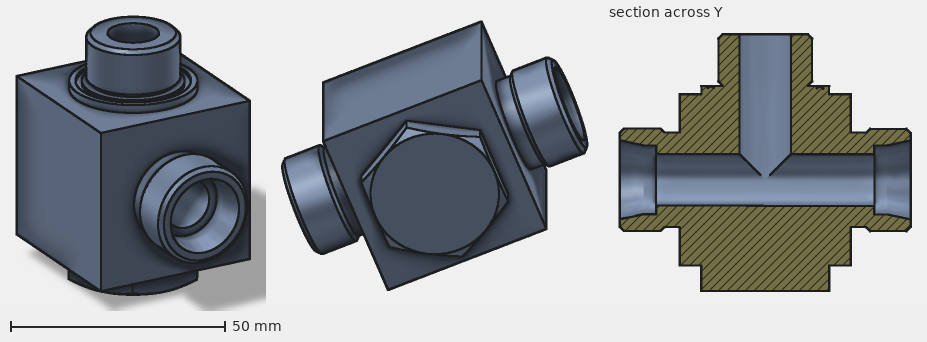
import cadquery as cq
import math

block_side = 40.0
half_block = block_side / 2
bore_radius = 12.0 / 2
edge_chamfer = 1.0

overall_length = 68.0
port_end = overall_length / 2
thread_radius = 24.0 / 2
neck_radius = 22.2 / 2
port_thread_length = 10.5
mouth_radius = 18.35 / 2
socket_radius = 16.0 / 2
cone_half_angle = 12.0
cone_depth = (mouth_radius - socket_radius) / math.tan(math.radians(cone_half_angle))
socket_depth = 8.5

stud_radius = 22.0 / 2
stud_top = half_block + 14.0
collar_radius = 30.0 / 2
collar_top = half_block + 2.0
ring_outer_radius = 27.0 / 2
ring_inner_radius = 24.0 / 2
ring_section_radius = (ring_outer_radius - ring_inner_radius) / 2
ring_recess = 0.15
ring_mid_radius = (ring_outer_radius + ring_inner_radius) / 2

hex_flats = 30.0
hex_flat_radius = hex_flats / 2
hex_corner_radius = hex_flat_radius / math.cos(math.radians(30))
hex_height = 6.0
hex_bottom = -half_block - hex_height
hex_chamfer_angle = 30.0


def revolve_about_z(points):
    """Revolve a closed (radius, z) outline about the Z axis."""
    return cq.Workplane("XZ").polyline(points).close().revolve(360, (0, 0), (0, 1))


def point_along_x(body, side):
    """Turn a body that points along +Z to point along +X or -X."""
    return body.rotate((0, 0, 0), (0, 1, 0), side * 90)


def make_port():
    """Threaded spigot with a relieved neck, starting inside the block."""
    thread_start = port_end - port_thread_length
    return revolve_about_z([
        (0, 0),
        (neck_radius, 0),
        (neck_radius, thread_start),
        (thread_radius, thread_start + thread_radius - neck_radius),
        (thread_radius, port_end - edge_chamfer),
        (thread_radius - edge_chamfer, port_end),
        (0, port_end),
    ])


def make_port_cavity():
    """Tapered mouth, cylindrical tube socket and bore up to the block centre."""
    socket_floor = port_end - socket_depth
    return revolve_about_z([
        (0, 0),
        (bore_radius, 0),
        (bore_radius, socket_floor),
        (socket_radius, socket_floor),
        (socket_radius, port_end - cone_depth),
        (mouth_radius, port_end),
        (0, port_end),
    ])


def make_stud():
    """Collar and stud, with chamfers at both ends of the stud."""
    return revolve_about_z([
        (0, 0),
        (collar_radius, 0),
        (collar_radius, collar_top),
        (stud_radius - edge_chamfer, collar_top),
        (stud_radius, collar_top + edge_chamfer),
        (stud_radius, stud_top - edge_chamfer),
        (stud_radius - edge_chamfer, stud_top),
        (0, stud_top),
    ])


def make_ring_groove():
    """Space in the collar around the upper half of a seal ring set just below its face."""
    ring_crest = collar_top - ring_recess
    ring_centre = ring_crest - ring_section_radius
    return (
        cq.Workplane("XZ")
        .moveTo(ring_inner_radius, ring_centre)
        .threePointArc((ring_mid_radius, ring_crest), (ring_outer_radius, ring_centre))
        .lineTo(ring_outer_radius, collar_top)
        .lineTo(ring_inner_radius, collar_top)
        .close()
        .revolve(360, (0, 0), (0, 1))
    )


def make_hex_head():
    """Hexagon with flats facing +X and -X, its lower corners cut by a cone."""
    prism = (
        cq.Workplane("XY", origin=(0, 0, hex_bottom))
        .polygon(6, 2 * hex_corner_radius)
        .extrude(hex_height)
        .rotate((0, 0, 0), (0, 0, 1), 30)
    )
    corner_rise = (hex_corner_radius - hex_flat_radius) * math.tan(math.radians(hex_chamfer_angle))
    envelope = revolve_about_z([
        (0, hex_bottom),
        (hex_flat_radius, hex_bottom),
        (hex_corner_radius, hex_bottom + corner_rise),
        (hex_corner_radius, -half_block),
        (0, -half_block),
    ])
    return prism.intersect(envelope)


body = cq.Workplane("XY").box(block_side, block_side, block_side)
body = body.union(make_stud()).union(make_hex_head())
for side in (-1, 1):
    body = body.union(point_along_x(make_port(), side))

for side in (-1, 1):
    body = body.cut(point_along_x(make_port_cavity(), side))
body = body.cut(cq.Workplane("XY").circle(bore_radius).extrude(stud_top))
result = body.cut(make_ring_groove())